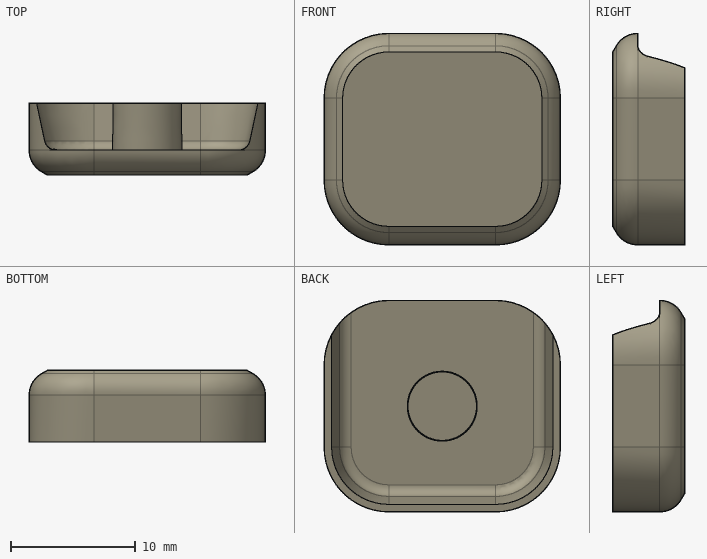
import cadquery as cq
import math

width = 19.0
height = 17.0
front_depth = 2.01
wall_depth = 3.78
corner_radius = 5.2

rim_radius = 2.0
rim_angle = math.radians(60)
cutter_margin = 0.95

wall_thickness = 0.6
draft_angle = 12.0
floor_fillet = 0.95
pocket_overshoot = 5.7

stem_base_radius = 2.81
stem_end_radius = 2.75


def rounded_block():
    """Rounded rectangle from the front face to the back edge."""
    return (
        cq.Workplane("XZ", origin=(0, wall_depth, 0))
        .rect(width, height)
        .extrude(wall_depth + front_depth)
        .edges("|Y")
        .fillet(corner_radius)
    )


def rim_cutter():
    """Material outside the rim profile, swept round the block's outline."""
    half_width = width / 2
    half_height = height / 2
    corner_inset = corner_radius * (1 - math.sqrt(0.5))
    straight_x = half_width - corner_radius
    straight_z = half_height - corner_radius
    mid_x = half_width - corner_inset
    mid_z = half_height - corner_inset

    path = (
        cq.Workplane("XZ")
        .moveTo(half_width, 0)
        .lineTo(half_width, straight_z)
        .threePointArc((mid_x, mid_z), (straight_x, half_height))
        .lineTo(-straight_x, half_height)
        .threePointArc((-mid_x, mid_z), (-half_width, straight_z))
        .lineTo(-half_width, -straight_z)
        .threePointArc((-mid_x, -mid_z), (-straight_x, -half_height))
        .lineTo(straight_x, -half_height)
        .threePointArc((mid_x, -mid_z), (half_width, -straight_z))
        .close()
    )

    def rim_point(angle):
        inset = rim_radius * (1 - math.cos(angle))
        return (half_width - inset, -rim_radius * math.sin(angle))

    arc_end = rim_point(rim_angle)
    cutter_front = -front_depth - cutter_margin
    band_run = (arc_end[1] - cutter_front) * math.tan(rim_angle)
    profile = (
        cq.Workplane("XY")
        .moveTo(half_width, 0)
        .threePointArc(rim_point(rim_angle / 2), arc_end)
        .lineTo(arc_end[0] - band_run, cutter_front)
        .lineTo(half_width + cutter_margin, cutter_front)
        .lineTo(half_width + cutter_margin, 0)
        .close()
    )
    return profile.sweep(path)


def pocket_cutter():
    """Drafted pocket with rounded lower corners and a filleted floor."""
    pocket_width = width - 2 * wall_thickness
    pocket_bottom = -height / 2 + wall_thickness
    pocket_height = height / 2 + pocket_overshoot - pocket_bottom
    pocket_radius = corner_radius - wall_thickness
    left = -pocket_width / 2
    right = pocket_width / 2
    top = pocket_bottom + pocket_height
    arc_inset = pocket_radius * (1 - math.sqrt(0.5))
    return (
        cq.Workplane("XZ", origin=(0, wall_depth, 0))
        .moveTo(left, top)
        .lineTo(left, pocket_bottom + pocket_radius)
        .threePointArc(
            (left + arc_inset, pocket_bottom + arc_inset),
            (left + pocket_radius, pocket_bottom),
        )
        .lineTo(right - pocket_radius, pocket_bottom)
        .threePointArc(
            (right - arc_inset, pocket_bottom + arc_inset),
            (right, pocket_bottom + pocket_radius),
        )
        .lineTo(right, top)
        .close()
        .extrude(wall_depth, taper=draft_angle)
        .faces("<Y")
        .edges()
        .fillet(floor_fillet)
    )


def make_housing():
    return rounded_block().cut(rim_cutter()).cut(pocket_cutter())


def make_stem():
    """Cone from the pocket floor to the plane of the back edge."""
    cone = cq.Solid.makeCone(
        stem_base_radius,
        stem_end_radius,
        wall_depth,
        pnt=cq.Vector(0, 0, 0),
        dir=cq.Vector(0, 1, 0),
    )
    return cq.Workplane(obj=cone)


housing = make_housing()
stem = make_stem()

result = cq.Compound.makeCompound([housing.val(), stem.val()])